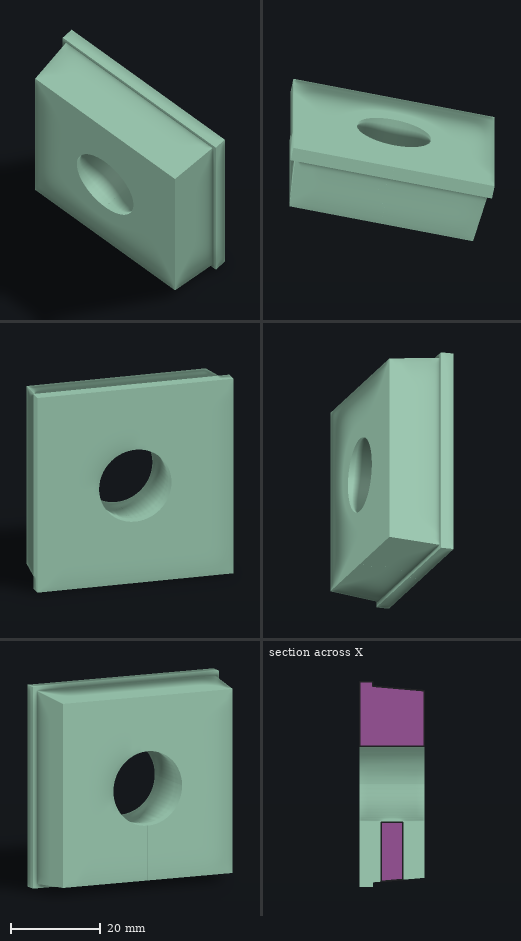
import cadquery as cq
import math

flange_side = 46.0
flange_thickness = 3.0
total_depth = 14.5
plug_base_side = 44.0
draft_angle = 5.0
bore_diameter = 17.0

slit_width = 0.01
interlock_radius = 2.5
interlock_center_y = total_depth / 2

plug_depth = total_depth - flange_thickness
cut_overrun = 1.0


def square_plug():
    """Square block that narrows by the draft angle from the flange to the front face."""
    return (
        cq.Workplane("XZ", origin=(0, plug_depth, 0))
        .rect(plug_base_side, plug_base_side)
        .extrude(plug_depth, taper=draft_angle)
    )


def flange():
    """Square plate behind the plug."""
    return (
        cq.Workplane("XZ", origin=(0, total_depth, 0))
        .rect(flange_side, flange_side)
        .extrude(flange_thickness)
    )


def bore():
    """Round hole through the full depth."""
    return (
        cq.Workplane("XZ", origin=(0, total_depth + cut_overrun, 0))
        .circle(bore_diameter / 2)
        .extrude(total_depth + 2 * cut_overrun)
    )


def slit():
    """Thin slit from the bore axis down through the lower side, bulging to +X mid-way."""
    half_width = slit_width / 2
    outer_radius = interlock_radius + half_width
    inner_radius = interlock_radius - half_width
    outer_reach = math.sqrt(outer_radius**2 - half_width**2)
    inner_reach = math.sqrt(inner_radius**2 - half_width**2)
    front_y = -cut_overrun
    back_y = total_depth + cut_overrun
    profile = (
        cq.Workplane("XY")
        .moveTo(half_width, front_y)
        .lineTo(half_width, interlock_center_y - outer_reach)
        .threePointArc((outer_radius, interlock_center_y), (half_width, interlock_center_y + outer_reach))
        .lineTo(half_width, back_y)
        .lineTo(-half_width, back_y)
        .lineTo(-half_width, interlock_center_y + inner_reach)
        .lineTo(half_width, interlock_center_y + inner_reach)
        .threePointArc((inner_radius, interlock_center_y), (half_width, interlock_center_y - inner_reach))
        .lineTo(-half_width, interlock_center_y - inner_reach)
        .lineTo(-half_width, front_y)
        .close()
    )
    return profile.extrude(-(flange_side / 2 + cut_overrun))


result = square_plug().union(flange()).cut(bore()).cut(slit())